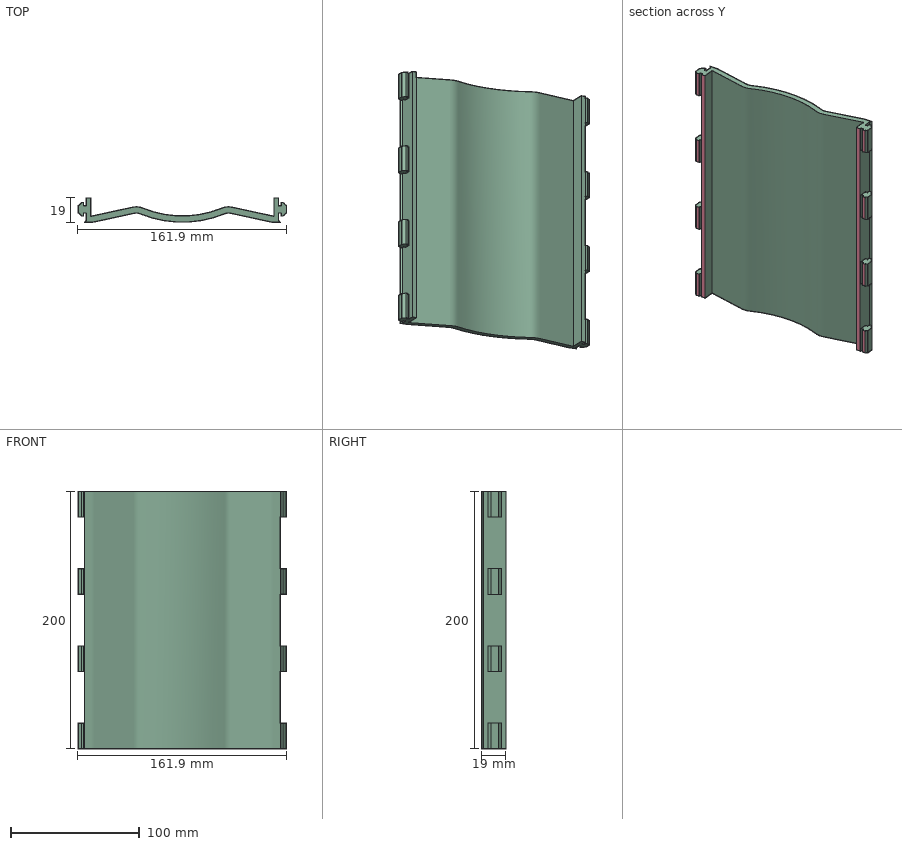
import cadquery as cq
import math

panel_height = 200.0
panel_depth = 19.0
overall_width = 161.9
sheet_thickness = 5.0

wall_outer_x = 74.7
wall_thickness = 3.6
wall_inner_x = wall_outer_x - wall_thickness
lip_size = 1.4

ramp_foot_x = 69.35
foot_radius = 10.0
crest_x = 35.8
crest_height = 7.1
crest_radius = 8.0

clip_length = 20.0
clip_count = 4
clip_pitch = (panel_height - clip_length) / (clip_count - 1)
clip_center_y = 10.1
clip_half_depth = 5.3
clip_chamfer = 2.7
clip_tip_x = overall_width / 2
clip_back_x = 76.7
neck_half_depth = 2.9

crest_center_y = crest_height - crest_radius
valley_radius = (crest_x**2 + crest_center_y**2 - crest_radius**2) / (2 * crest_height)
valley_half_angle = math.asin(crest_x / (valley_radius + crest_radius))

foot_to_crest = math.hypot(ramp_foot_x - crest_x, crest_center_y)
ramp_angle = math.asin(crest_radius / foot_to_crest) + math.atan2(crest_center_y, ramp_foot_x - crest_x)
foot_tangent = foot_radius * math.tan(ramp_angle / 2)


def crest_point(radius, angle):
    """Point on the left crest arc; angle is measured from +Y toward the panel center."""
    return (-crest_x + radius * math.sin(angle), crest_center_y + radius * math.cos(angle))


def mirrored(point):
    return (-point[0], point[1])


def wave(radius, valley_bottom):
    """Points of the left crest arc (start, middle, end) and the bottom of the valley arc."""
    middle_angle = (valley_half_angle - ramp_angle) / 2
    return (
        crest_point(radius, -ramp_angle),
        crest_point(radius, middle_angle),
        crest_point(radius, valley_half_angle),
        (0, valley_bottom),
    )


def make_panel():
    front_start, front_middle, front_end, front_valley = wave(crest_radius, 0)
    back_start, back_middle, back_end, back_valley = wave(crest_radius + sheet_thickness, sheet_thickness)

    foot_start = (-ramp_foot_x - foot_tangent, 0)
    foot_middle = (
        foot_start[0] + foot_radius * math.sin(ramp_angle / 2),
        foot_radius * (1 - math.cos(ramp_angle / 2)),
    )
    foot_end = (
        -ramp_foot_x + foot_tangent * math.cos(ramp_angle),
        foot_tangent * math.sin(ramp_angle),
    )
    inner_corner = (
        -wall_inner_x,
        back_start[1] - (back_start[0] + wall_inner_x) * math.tan(ramp_angle),
    )
    wall_end_inner = (-wall_inner_x, panel_depth)
    wall_end_outer = (-wall_outer_x, panel_depth)
    lip_start = (-wall_outer_x, lip_size)
    lip_tip = (-wall_outer_x - lip_size, 0)

    profile = (
        cq.Workplane("XY")
        .moveTo(*lip_tip)
        .lineTo(*foot_start)
        .threePointArc(foot_middle, foot_end)
        .lineTo(*front_start)
        .threePointArc(front_middle, front_end)
        .threePointArc(front_valley, mirrored(front_end))
        .threePointArc(mirrored(front_middle), mirrored(front_start))
        .lineTo(*mirrored(foot_end))
        .threePointArc(mirrored(foot_middle), mirrored(foot_start))
        .lineTo(*mirrored(lip_tip))
        .lineTo(*mirrored(lip_start))
        .lineTo(*mirrored(wall_end_outer))
        .lineTo(*mirrored(wall_end_inner))
        .lineTo(*mirrored(inner_corner))
        .lineTo(*mirrored(back_start))
        .threePointArc(mirrored(back_middle), mirrored(back_end))
        .threePointArc(back_valley, back_end)
        .threePointArc(back_middle, back_start)
        .lineTo(*inner_corner)
        .lineTo(*wall_end_inner)
        .lineTo(*wall_end_outer)
        .lineTo(*lip_start)
        .close()
    )
    return profile.extrude(panel_height)


def make_clip(bottom_z):
    """Left-hand clip: a neck rooted in the wall and a wider head with chamfered outer corners."""
    root_x = wall_inner_x + wall_thickness / 2
    neck_depth = 2 * neck_half_depth
    neck = cq.Workplane("XY").box(clip_tip_x - root_x, neck_depth, clip_length, centered=(False, True, False))
    head = (
        cq.Workplane("XY")
        .box(clip_tip_x - clip_back_x, 2 * clip_half_depth, clip_length, centered=(False, True, False))
        .edges("<X and |Z")
        .chamfer(clip_chamfer)
    )
    return neck.union(head).translate((-clip_tip_x, clip_center_y, bottom_z))


result = make_panel()
for index in range(clip_count):
    clip = make_clip(index * clip_pitch)
    result = result.union(clip).union(clip.mirror("YZ"))